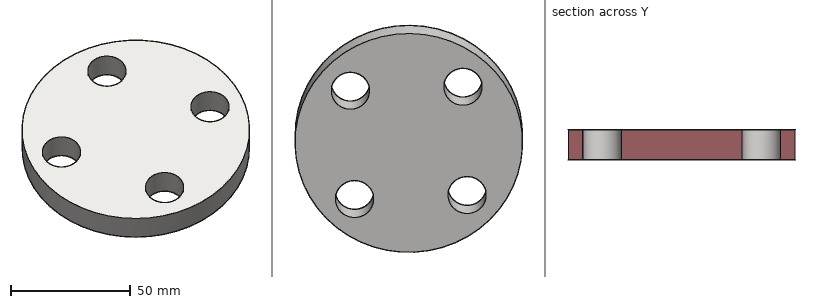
import cadquery as cq

flange_diameter = 95.2
flange_thickness = 12.7
bolt_hole_diameter = 16.0
bolt_circle_diameter = 66.7
bolt_hole_count = 4


def flange_disc():
    """Plain round disc standing on the XY plane."""
    return cq.Workplane("XY").circle(flange_diameter / 2).extrude(flange_thickness)


def cut_bolt_holes(body):
    """Through holes evenly spaced on the bolt circle, the first one on +X."""
    return (
        body.faces(">Z")
        .workplane()
        .polarArray(bolt_circle_diameter / 2, 0, 360, bolt_hole_count)
        .hole(bolt_hole_diameter)
    )


result = cut_bolt_holes(flange_disc())